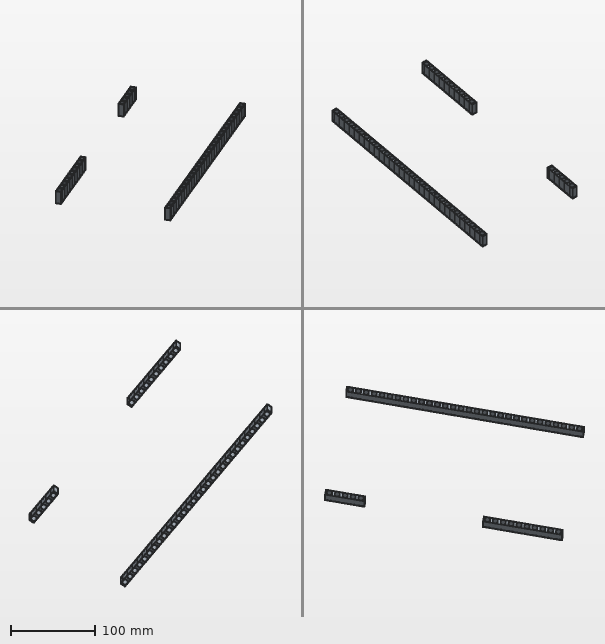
import cadquery as cq

TOTAL_WIDTH = 143.0
TOTAL_LENGTH = 285.8
STRIP_HEIGHT = 16.0
STRIP_WIDTH = 6.5

LONG_STRIP_HOLES = 30
FRONT_STRIP_HOLES = 10
BACK_STRIP_HOLES = 5
HOLE_DIAMETER = 6.3
HOLE_PITCH = TOTAL_LENGTH / LONG_STRIP_HOLES

LEFT_X = (STRIP_WIDTH - TOTAL_WIDTH) / 2
RIGHT_X = -LEFT_X
FRONT_END_Y = -TOTAL_LENGTH / 2
BACK_STRIP_START_Y = TOTAL_LENGTH / 2 - BACK_STRIP_HOLES * HOLE_PITCH


def connector_strip(center_x, start_y, hole_count):
    """Rectangular strip running along +Y from start_y, with vertical through holes."""
    length = hole_count * HOLE_PITCH
    return (
        cq.Workplane("XY")
        .box(STRIP_WIDTH, length, STRIP_HEIGHT, centered=(True, True, False))
        .faces(">Z")
        .workplane()
        .rarray(HOLE_PITCH, HOLE_PITCH, 1, hole_count)
        .hole(HOLE_DIAMETER)
        .translate((center_x, start_y + length / 2, 0))
    )


long_strip = connector_strip(RIGHT_X, FRONT_END_Y, LONG_STRIP_HOLES)
front_strip = connector_strip(LEFT_X, FRONT_END_Y, FRONT_STRIP_HOLES)
back_strip = connector_strip(LEFT_X, BACK_STRIP_START_Y, BACK_STRIP_HOLES)

result = cq.Compound.makeCompound([long_strip.val(), front_strip.val(), back_strip.val()])